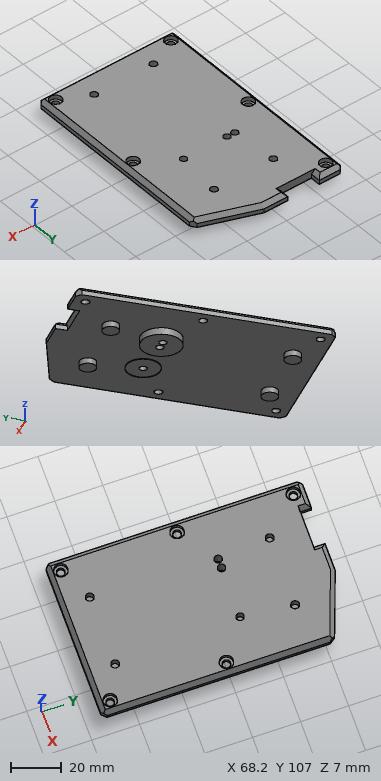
import cadquery as cq
import math

WIDTH = 68.2
LENGTH = 107.0
TOTAL_HEIGHT = 7.0
PLATE_THICKNESS = 4.0
EDGE_BEVEL = 1.9
CORNER_CUT = 1.9

CLIP_START_X = 6.2
CLIP_ANGLE = 20.0

NOTCH_LEFT_X = -21.7
NOTCH_RIGHT_X = -5.9
NOTCH_DEPTH = 4.9

MOUNT_X = 29.1
MOUNT_Y = 48.5
MOUNT_HOLE_DIAMETER = 3.4
COUNTERBORE_DIAMETER = 5.7
COUNTERBORE_DEPTH = 2.0

STANDOFF_LEFT_X = -14.7
STANDOFF_RIGHT_X = 15.3
STANDOFF_BACK_Y = 33.5
STANDOFF_FRONT_Y = -41.5
STANDOFF_DIAMETER = 7.0
STANDOFF_HEIGHT = 2.5
STANDOFF_HOLE_DIAMETER = 3.4
STANDOFF_HOLE_DEPTH = PLATE_THICKNESS

PAD_Y = 11.5
LARGE_PAD_X = -10.8
LARGE_PAD_DIAMETER = 17.2
PAIR_X = -11.0
PAIR_SPACING = 4.0
SMALL_PAD_X = 12.8
SMALL_PAD_DIAMETER = 14.3
SMALL_PAD_HEIGHT = 0.3
PAD_HOLE_DIAMETER = 3.2

HALF_WIDTH = WIDTH / 2
HALF_LENGTH = LENGTH / 2
LARGE_PAD_HEIGHT = TOTAL_HEIGHT - PLATE_THICKNESS
NOTCH_BACK_Y = HALF_LENGTH - NOTCH_DEPTH
CLIP_END_Y = HALF_LENGTH - (HALF_WIDTH - CLIP_START_X) * math.tan(math.radians(CLIP_ANGLE))

CORNERS = [
    (-HALF_WIDTH, -HALF_LENGTH),
    (HALF_WIDTH, -HALF_LENGTH),
    (HALF_WIDTH, CLIP_END_Y),
    (-HALF_WIDTH, HALF_LENGTH),
]
MOUNT_POINTS = [
    (-MOUNT_X, MOUNT_Y),
    (-MOUNT_X, 0),
    (MOUNT_X, 0),
    (-MOUNT_X, -MOUNT_Y),
    (MOUNT_X, -MOUNT_Y),
]
STANDOFF_POINTS = [
    (x, y) for x in (STANDOFF_LEFT_X, STANDOFF_RIGHT_X) for y in (STANDOFF_BACK_Y, STANDOFF_FRONT_Y)
]
PAD_HOLE_POINTS = [
    (PAIR_X - PAIR_SPACING / 2, PAD_Y),
    (PAIR_X + PAIR_SPACING / 2, PAD_Y),
    (SMALL_PAD_X, PAD_Y),
]


def prism(outline):
    return cq.Workplane("XY").polyline(outline).close().extrude(PLATE_THICKNESS)


def make_plate():
    """Notched plate with bevelled top edges and cut corners; the notch back stays square."""
    lower_left, lower_right, clip_end, upper_left = CORNERS
    clip_start = (CLIP_START_X, HALF_LENGTH)
    notch = [
        (NOTCH_RIGHT_X, HALF_LENGTH),
        (NOTCH_RIGHT_X, NOTCH_BACK_Y),
        (NOTCH_LEFT_X, NOTCH_BACK_Y),
        (NOTCH_LEFT_X, HALF_LENGTH),
    ]
    plate = prism([lower_left, lower_right, clip_end, clip_start, *notch, upper_left])
    notch_middle_x = (NOTCH_LEFT_X + NOTCH_RIGHT_X) / 2
    notch_back = cq.selectors.NearestToPointSelector((notch_middle_x, NOTCH_BACK_Y, PLATE_THICKNESS))
    all_but_notch_back = cq.StringSyntaxSelector(">Z") - notch_back
    plate = plate.edges(all_but_notch_back).chamfer(EDGE_BEVEL)

    corner_cut_block = prism([lower_left, lower_right, clip_end, clip_start, upper_left])
    for x, y in CORNERS:
        corner_edge = cq.selectors.NearestToPointSelector((x, y, PLATE_THICKNESS / 2))
        corner_cut_block = corner_cut_block.edges(corner_edge).chamfer(CORNER_CUT)
    return plate.intersect(corner_cut_block)


def discs_below(points, diameter, height):
    return cq.Workplane("XY").pushPoints(points).circle(diameter / 2).extrude(-height)


def holes_from_top(points, diameter, depth):
    top = cq.Workplane("XY").workplane(offset=PLATE_THICKNESS)
    return top.pushPoints(points).circle(diameter / 2).extrude(-depth)


result = (
    make_plate()
    .union(discs_below(STANDOFF_POINTS, STANDOFF_DIAMETER, STANDOFF_HEIGHT))
    .union(discs_below([(LARGE_PAD_X, PAD_Y)], LARGE_PAD_DIAMETER, LARGE_PAD_HEIGHT))
    .union(discs_below([(SMALL_PAD_X, PAD_Y)], SMALL_PAD_DIAMETER, SMALL_PAD_HEIGHT))
    .cut(holes_from_top(STANDOFF_POINTS, STANDOFF_HOLE_DIAMETER, STANDOFF_HOLE_DEPTH))
    .cut(holes_from_top(MOUNT_POINTS, MOUNT_HOLE_DIAMETER, TOTAL_HEIGHT))
    .cut(holes_from_top(MOUNT_POINTS, COUNTERBORE_DIAMETER, COUNTERBORE_DEPTH))
    .cut(holes_from_top(PAD_HOLE_POINTS, PAD_HOLE_DIAMETER, TOTAL_HEIGHT))
)